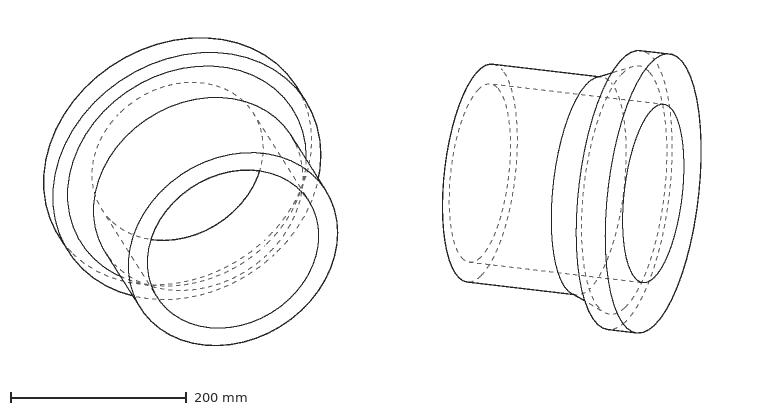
import cadquery as cq

total_length = 210.0
flange_diameter = 320.0
flange_thickness = 35.2
cone_length = 43.0
cone_base_diameter = 284.8
pipe_diameter = 250.0
bore_diameter = 204.5

cone_end = flange_thickness + cone_length

half_section = (
    cq.Workplane("XY")
    .moveTo(0, bore_diameter / 2)
    .lineTo(0, flange_diameter / 2)
    .lineTo(flange_thickness, flange_diameter / 2)
    .lineTo(flange_thickness, cone_base_diameter / 2)
    .lineTo(cone_end, pipe_diameter / 2)
    .lineTo(total_length, pipe_diameter / 2)
    .lineTo(total_length, bore_diameter / 2)
    .close()
)

result = half_section.revolve(360, (0, 0, 0), (1, 0, 0))